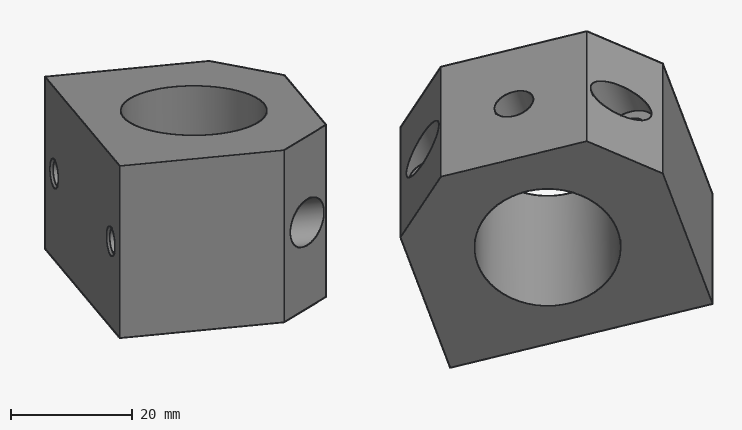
import cadquery as cq

width = 45.0
depth = 38.0
height = 30.0
corner_cut = 10.0

bore_diameter = 24.0

screw_spacing = 34.0
screw_diameter = 4.15
countersink_diameter = 5.0
counterbore_diameter = 8.0
counterbore_depth = corner_cut

radial_diameter = 6.65

front_y = -depth / 2
back_y = depth / 2


def cylinder_along_y(diameter, x, start_y, length):
    """Cylinder at mid height that starts at start_y and extends toward +Y."""
    return cq.Workplane(
        cq.Solid.makeCylinder(diameter / 2, length, cq.Vector(x, start_y, 0), cq.Vector(0, 1, 0))
    )


def screw_hole(x):
    """Through hole, chamfered at the front and counterbored from the back."""
    hole = cylinder_along_y(screw_diameter, x, front_y, depth)
    counterbore = cylinder_along_y(
        counterbore_diameter, x, back_y - counterbore_depth, counterbore_depth
    )
    chamfer_depth = (countersink_diameter - screw_diameter) / 2
    countersink = cq.Solid.makeCone(
        countersink_diameter / 2,
        screw_diameter / 2,
        chamfer_depth,
        cq.Vector(x, front_y, 0),
        cq.Vector(0, 1, 0),
    )
    return hole.union(counterbore).union(cq.Workplane(countersink))


block = cq.Workplane("XY").box(width, depth, height)
block = block.edges("|Z and >Y").chamfer(corner_cut)

bore = cq.Workplane("XY", origin=(0, 0, -height / 2)).circle(bore_diameter / 2).extrude(height)
result = block.cut(bore)

for side in (-1, 1):
    result = result.cut(screw_hole(side * screw_spacing / 2))

result = result.cut(cylinder_along_y(radial_diameter, 0, 0, back_y))